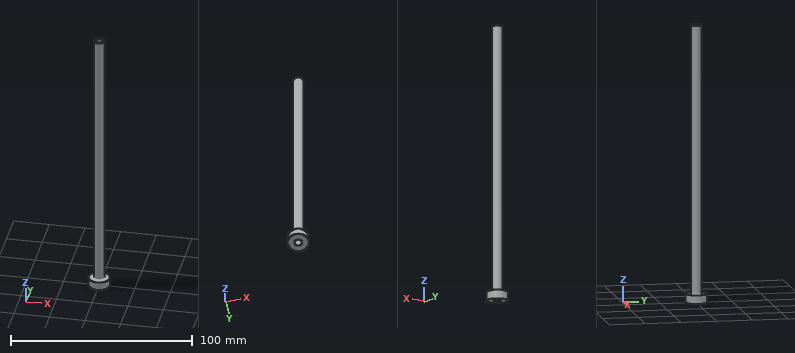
import cadquery as cq

total_length = 155.0
head_diameter = 12.0
head_height = 5.0
tube_diameter = 6.0
bore_diameter = 4.0
neck_fillet = 0.5

head_radius = head_diameter / 2
tube_radius = tube_diameter / 2
bore_radius = bore_diameter / 2

half_section = (
    cq.Workplane("XZ")
    .moveTo(bore_radius, 0)
    .lineTo(head_radius, 0)
    .lineTo(head_radius, head_height)
    .lineTo(tube_radius + neck_fillet, head_height)
    .radiusArc((tube_radius, head_height + neck_fillet), neck_fillet)
    .lineTo(tube_radius, total_length)
    .lineTo(bore_radius, total_length)
    .close()
)

result = half_section.revolve(360, (0, 0, 0), (0, 1, 0))